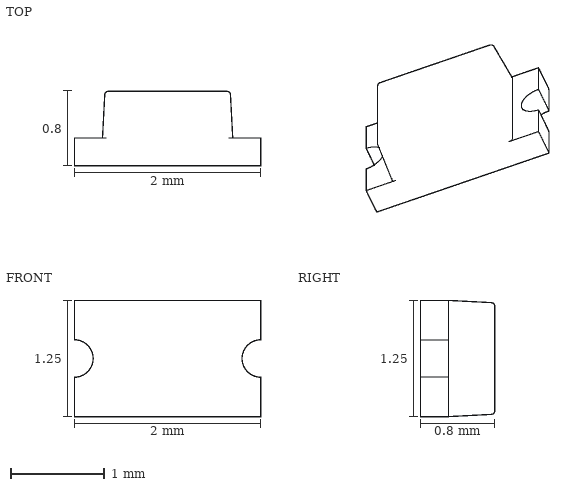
import cadquery as cq

base_length = 2.0
base_height = 1.25
base_thickness = 0.3
notch_radius = 0.2

lens_length = 1.4
lens_depth = 0.5
lens_draft = 3.0
lens_edge_radius = 0.04


def make_base():
    """Rectangular board with a half-round notch in the middle of each end."""
    board = cq.Workplane("XZ").rect(base_length, base_height).extrude(-base_thickness)
    notches = (
        cq.Workplane("XZ")
        .pushPoints([(-base_length / 2, 0), (base_length / 2, 0)])
        .circle(notch_radius)
        .extrude(-base_thickness)
    )
    return board.cut(notches)


def make_lens():
    """Drafted block as tall as the board, rounded everywhere but at its foot."""
    block = (
        cq.Workplane("XZ", origin=(0, base_thickness, 0))
        .rect(lens_length, base_height)
        .extrude(-lens_depth, taper=lens_draft)
    )
    return block.edges("not <Y").fillet(lens_edge_radius)


result = make_base().union(make_lens())